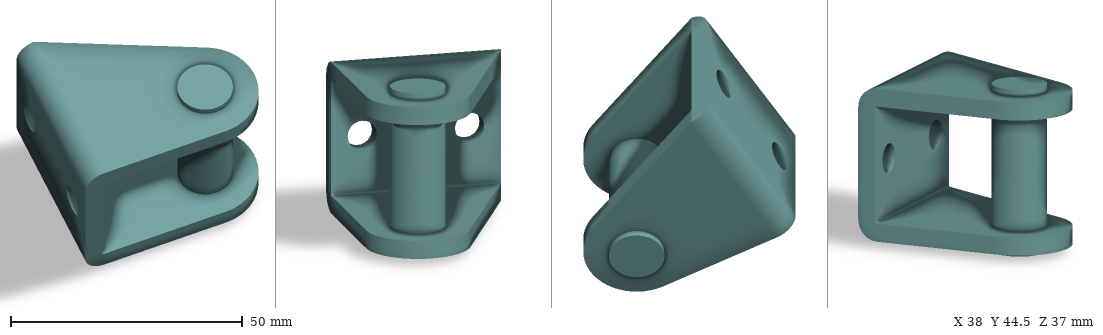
import cadquery as cq
import math

width = 38.0
depth = 44.5
height = 34.0
thickness = 4.0
outer_bend_radius = 4.5
inner_bend_radius = outer_bend_radius - thickness

end_radius = 11.5
end_x = width - end_radius
end_y = depth - end_radius

pin_diameter = 12.0
pin_length = 37.0

hole_diameter = 6.5
hole_spacing = 24.0
first_hole_x = 7.0


def make_channel():
    """U-section in the YZ plane, extruded across the full width."""
    outer = (
        cq.Workplane("YZ")
        .rect(2 * depth, height)
        .extrude(width)
        .translate((0, depth, 0))
        .edges("|X and <Y")
        .fillet(outer_bend_radius)
    )
    inner = (
        cq.Workplane("YZ")
        .rect(2 * depth, height - 2 * thickness)
        .extrude(width)
        .translate((0, depth + thickness, 0))
        .edges("|X and <Y")
        .fillet(inner_bend_radius)
    )
    return outer.cut(inner)


def make_flange_outline():
    """Block with the flange outline: straight +X side, round end, sloping -X side."""
    slope_start_y = thickness
    rise = end_y - slope_start_y
    slope_angle = math.atan2(rise, end_x) + math.asin(end_radius / math.hypot(end_x, rise))
    tangent_point = (
        end_x - end_radius * math.sin(slope_angle),
        end_y + end_radius * math.cos(slope_angle),
    )
    return (
        cq.Workplane("XY")
        .moveTo(0, 0)
        .lineTo(width, 0)
        .lineTo(width, end_y)
        .threePointArc((end_x, depth), tangent_point)
        .lineTo(0, slope_start_y)
        .close()
        .extrude(height / 2, both=True)
    )


def make_pin():
    return (
        cq.Workplane("XY")
        .workplane(offset=-pin_length / 2)
        .center(end_x, end_y)
        .circle(pin_diameter / 2)
        .extrude(pin_length)
    )


def make_mounting_holes():
    """Cutters that pass through the back wall only."""
    return (
        cq.Workplane("XZ")
        .pushPoints([(first_hole_x, 0), (first_hole_x + hole_spacing, 0)])
        .circle(hole_diameter / 2)
        .extrude(-thickness)
    )


bracket = make_channel().intersect(make_flange_outline())
result = bracket.cut(make_mounting_holes()).union(make_pin())